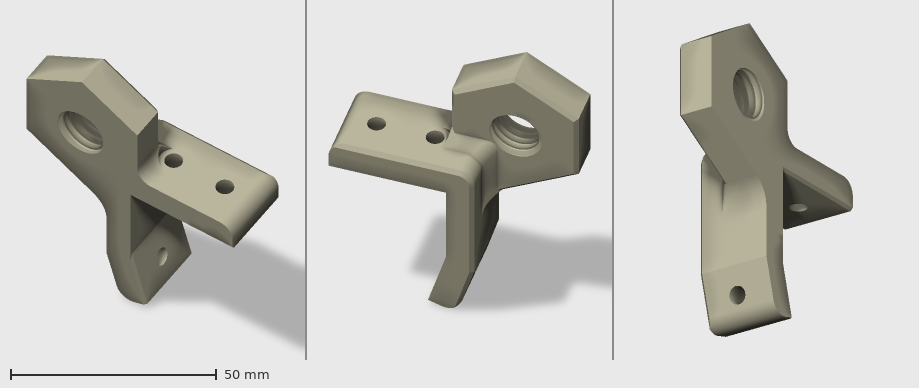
import cadquery as cq
import math

hex_flats = 32.5
hex_thickness = 10.0
edge_chamfer = 1.0

bracket_depth = 20.0
inner_corner = 14.2
wall = 7.0
arm_length = 30.0
end_radius = 4.0

bend_angle = math.radians(16.0)
bend_length = 15.0
bend_z = -40.54
front_chamfer = 0.72

arm_fillet = 4.0
leg_fillet = 8.0
gusset_rise = 3.0

screw_diameter = 4.6
screw_y = bracket_depth / 2
screw_inset = 6.0
screw_pitch = 15.0
arm_screw_count = 2
head_diameter = 7.5

thread_major = 14.6
thread_minor = 12.5
thread_pitch = 2.0
thread_crest = thread_pitch / 4
thread_root = thread_pitch / 8
thread_overlap = 0.2
thread_start = 226.0
core_seam = 77.0

hex_radius = hex_flats / math.sqrt(3)
hex_side_slope = math.tan(math.radians(30))
outer_corner = inner_corner - wall
arm_tip = inner_corner + arm_length
along_bend = (math.sin(bend_angle), -math.cos(bend_angle))
across_bend = (math.cos(bend_angle), math.sin(bend_angle))


def front_plane():
    """Plane y = 0 with its normal along +Y; local coordinates are (x, -z)."""
    return cq.Workplane(cq.Plane(origin=(0, 0, 0), xDir=(1, 0, 0), normal=(0, 1, 0)))


def sketch(points):
    """Closed polygon through (x, z) points on the front plane."""
    return front_plane().polyline([(x, -z) for x, z in points]).close()


def shifted(point, direction, distance):
    """An (x, z) point moved by distance along a unit direction."""
    return (point[0] + direction[0] * distance, point[1] + direction[1] * distance)


def plate_outline():
    """Hexagon whose lower left side runs on into the leg; the inner points are buried in the L."""
    half_flats = hex_flats / 2
    mid_wall = outer_corner + wall / 2
    return [
        (0, hex_radius),
        (half_flats, hex_radius / 2),
        (half_flats, -mid_wall),
        (mid_wall, -mid_wall),
        (mid_wall, -hex_radius - mid_wall * hex_side_slope),
        (-half_flats, -hex_radius / 2),
        (-half_flats, hex_radius / 2),
    ]


def plate():
    """Nut plate with its back edge chamfered."""
    return sketch(plate_outline()).extrude(hex_thickness).faces(">Y").chamfer(edge_chamfer)


def edge_at(x, z, y=bracket_depth / 2):
    """Selector for the edge whose middle is nearest to (x, y, z)."""
    return cq.selectors.NearestToPointSelector((x, y, z))


def bracket():
    """L of arm and bent leg with rounded corners and chamfered back and front edges."""
    bend_outer = (outer_corner, bend_z)
    bend_inner = (inner_corner, bend_z + wall * math.tan(bend_angle / 2))
    tip_outer = shifted(bend_outer, along_bend, bend_length)
    tip_inner = shifted(tip_outer, across_bend, wall)
    chamfer_along_leg = front_chamfer / math.sin(bend_angle)
    underside_z = -inner_corner - front_chamfer
    body = sketch([
        (outer_corner, -outer_corner),
        (arm_tip, -outer_corner),
        (arm_tip, underside_z),
        (inner_corner, underside_z),
        (inner_corner, bend_inner[1] + chamfer_along_leg),
        shifted(tip_inner, across_bend, front_chamfer),
        tip_outer,
        bend_outer,
    ]).extrude(bracket_depth)

    body = body.edges(edge_at(outer_corner, -outer_corner)).fillet(end_radius)
    arm_back_edge = edge_at((outer_corner + arm_tip) / 2, -outer_corner, bracket_depth)
    bend_back_edge = edge_at(*shifted(bend_outer, along_bend, bend_length / 2), bracket_depth)
    body = body.edges(arm_back_edge + bend_back_edge).chamfer(edge_chamfer)
    body = body.edges(edge_at(arm_tip, -outer_corner)).fillet(end_radius)
    body = body.edges(edge_at(*tip_outer)).fillet(end_radius)

    arm_front_edge = edge_at((inner_corner + arm_tip) / 2, underside_z, 0)
    bend_front_edge = edge_at(*shifted(tip_inner, along_bend, -bend_length / 2), 0)
    return body.edges(arm_front_edge + bend_front_edge).chamfer(front_chamfer)


def gusset():
    """Fillets and 45 degree slope that tie the L to the plate up to gusset_rise behind it."""
    top_y = hex_thickness + gusset_rise + end_radius / 2
    arm_end = arm_tip - end_radius
    core = sketch([
        (outer_corner, -outer_corner),
        (arm_end, -outer_corner),
        (arm_end, -inner_corner),
        (inner_corner, -inner_corner),
        (inner_corner, bend_z),
        (outer_corner, bend_z),
    ]).extrude(top_y)
    leg_joint_z = -hex_radius - outer_corner * hex_side_slope
    web = sketch(plate_outline()).extrude(top_y).union(core)
    web = web.edges(edge_at(hex_flats / 2, -outer_corner, top_y / 2)).fillet(arm_fillet)
    web = web.edges(edge_at(outer_corner, leg_joint_z, top_y / 2)).fillet(leg_fillet)

    base_corner = outer_corner - hex_thickness - gusset_rise
    far = base_corner + 2 * arm_tip
    slope = (
        sketch([(base_corner, -base_corner), (far, -base_corner), (far, -far), (base_corner, -far)])
        .extrude(top_y, taper=45)
        .edges(edge_at(base_corner + top_y / 2, -base_corner - top_y / 2, top_y / 2))
        .fillet(end_radius)
    )
    return web.intersect(slope)


def arm_screw_holes():
    """Through holes in the arm with head clearance cut out of the blends above it."""
    centres = [(inner_corner + screw_inset + i * screw_pitch, screw_y) for i in range(arm_screw_count)]
    arm_top = cq.Workplane("XY", origin=(0, 0, -outer_corner)).pushPoints(centres)
    heads = arm_top.circle(head_diameter / 2).extrude(arm_fillet)
    return arm_top.circle(screw_diameter / 2).extrude(-2 * wall).union(heads)


def bend_screw_hole():
    """Through hole square to the outer face of the bent end, halfway along it."""
    centre = shifted((outer_corner, bend_z), along_bend, bend_length / 2)
    plane = cq.Plane(
        origin=(centre[0], screw_y, centre[1]),
        xDir=(0, 1, 0),
        normal=(across_bend[0], 0, across_bend[1]),
    )
    return cq.Workplane(plane).circle(screw_diameter / 2).extrude(2 * wall)


def threaded_bore():
    """Core bore plus a right-hand helical groove running out of both faces of the plate."""
    core = front_plane().circle(thread_minor / 2).extrude(hex_thickness)
    core = core.rotate((0, 0, 0), (0, 1, 0), core_seam)
    inner_radius = thread_minor / 2 - thread_overlap
    outer_radius = thread_major / 2
    depth = (thread_major - thread_minor) / 2
    half_mouth = (thread_pitch - thread_crest) / 2
    half_root = thread_root / 2
    half_base = half_mouth + (half_mouth - half_root) * thread_overlap / depth
    turns_beyond = 1
    helix_height = hex_thickness + 2 * turns_beyond * thread_pitch
    helix = cq.Wire.makeHelix(thread_pitch, helix_height, inner_radius)
    groove = (
        cq.Workplane("XZ")
        .polyline([
            (inner_radius, -half_base),
            (outer_radius, -half_root),
            (outer_radius, half_root),
            (inner_radius, half_base),
        ])
        .close()
        .sweep(helix, isFrenet=True)
        .translate((0, 0, -turns_beyond * thread_pitch))
        .rotate((0, 0, 0), (0, 0, 1), -thread_start)
        .rotate((0, 0, 0), (1, 0, 0), -90)
    )
    return core, groove


result = plate().union(bracket()).union(gusset())
result = result.cut(arm_screw_holes()).cut(bend_screw_hole())
for cutter in threaded_bore():
    result = result.cut(cutter)